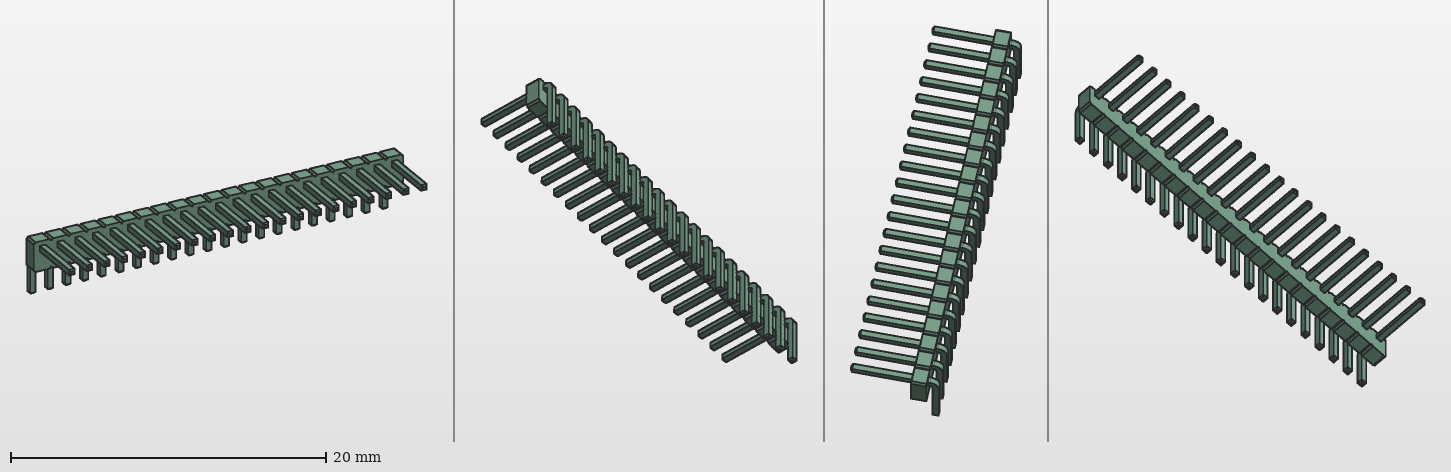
import cadquery as cq

row_length = 26.67
pin_count = 21
pitch = row_length / pin_count

housing_depth = 1.0
housing_height = 2.1
corner_chamfer = 0.13

pin_width = 0.4
pin_reach = 5.7
bend_outer_radius = 0.6
bend_inner_radius = bend_outer_radius - pin_width
housing_offset = 0.72
pin_drop = 0.32
overall_height = 4.35
tip_length = 0.1
tip_inset = 0.1
tip_width = pin_width - 2 * tip_inset

pin_top = -pin_drop
bend_end_z = pin_top - bend_outer_radius


def housing_cell():
    """One block of the housing strip, chamfered along its four X edges."""
    return (
        cq.Workplane("XY")
        .box(housing_depth, pitch, housing_height)
        .edges("|X")
        .chamfer(corner_chamfer)
        .translate((housing_offset + housing_depth / 2, 0, -housing_height / 2))
    )


def tapered_tip(plane):
    """A square frustum that narrows along the plane's normal."""
    return (
        cq.Workplane(plane)
        .rect(pin_width, pin_width)
        .workplane(offset=tip_length)
        .rect(tip_width, tip_width)
        .loft(ruled=True)
    )


def bent_pin():
    """A square pin on the XZ plane, bent by 90 degrees, with both ends tapered."""
    horizontal_end = pin_reach - tip_length
    vertical_end = -overall_height + tip_length
    half_width = pin_width / 2

    shank = (
        cq.Workplane("XZ")
        .moveTo(0, vertical_end)
        .lineTo(0, bend_end_z)
        .radiusArc((bend_outer_radius, pin_top), bend_outer_radius)
        .lineTo(horizontal_end, pin_top)
        .lineTo(horizontal_end, pin_top - pin_width)
        .lineTo(bend_outer_radius, pin_top - pin_width)
        .radiusArc((pin_width, bend_end_z), -bend_inner_radius)
        .lineTo(pin_width, vertical_end)
        .close()
        .extrude(half_width, both=True)
    )
    horizontal_tip = tapered_tip(
        cq.Plane((horizontal_end, 0, pin_top - half_width), xDir=(0, 1, 0), normal=(1, 0, 0))
    )
    vertical_tip = tapered_tip(
        cq.Plane((half_width, 0, vertical_end), xDir=(1, 0, 0), normal=(0, 0, -1))
    )
    return shank.union(horizontal_tip).union(vertical_tip)


cell = housing_cell()
pin = bent_pin()
cells = cq.Workplane("XY")
pins = cq.Workplane("XY")
for index in range(pin_count):
    position = (0, (index - (pin_count - 1) / 2) * pitch, 0)
    cells = cells.add(cell.translate(position))
    pins = pins.add(pin.translate(position))

housing = cells.combine()
pin_row = cq.Workplane(cq.Compound.makeCompound(pins.vals()))
result = housing.union(pin_row)